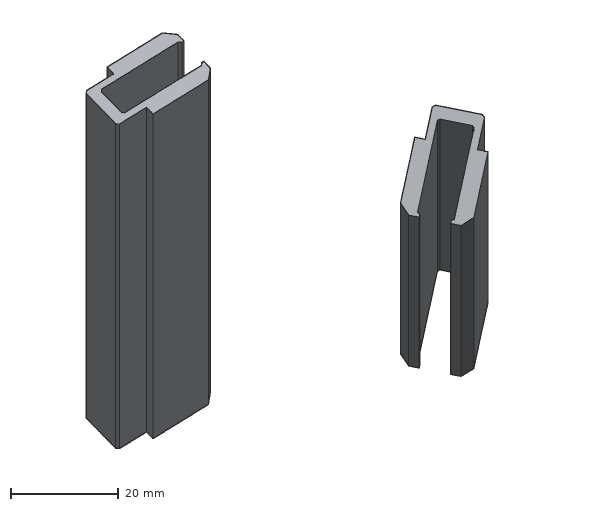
import cadquery as cq

length = 100.0
width = 14.0
depth = 22.0

base_width = 10.0
base_height = 6.9
base_chamfer = 0.5
top_chamfer = 2.0

slot_width = 7.0
mouth_width = 6.0
floor_thickness = 2.5
floor_bevel = 0.4
lip_thickness = 0.5

front_y = -depth / 2
back_y = depth / 2
shoulder_y = front_y + base_height
floor_y = front_y + floor_thickness
lip_tip_y = back_y - lip_thickness
lip_root_y = lip_tip_y - (slot_width - mouth_width) / 2

half_section = [
    (0, front_y),
    (base_width / 2, front_y),
    (base_width / 2, shoulder_y),
    (width / 2, shoulder_y),
    (width / 2, back_y - top_chamfer),
    (width / 2 - top_chamfer, back_y),
    (mouth_width / 2, back_y),
    (mouth_width / 2, lip_tip_y),
    (slot_width / 2, lip_root_y),
    (slot_width / 2, floor_y + floor_bevel),
    (slot_width / 2 - floor_bevel, floor_y),
    (0, floor_y),
]
half_channel = (
    cq.Workplane("XY")
    .workplane(offset=-length / 2)
    .polyline(half_section)
    .close()
    .extrude(length)
)
channel = half_channel.union(half_channel.mirror("YZ")).clean()

result = channel.faces("<Y").edges("|Z").chamfer(base_chamfer)